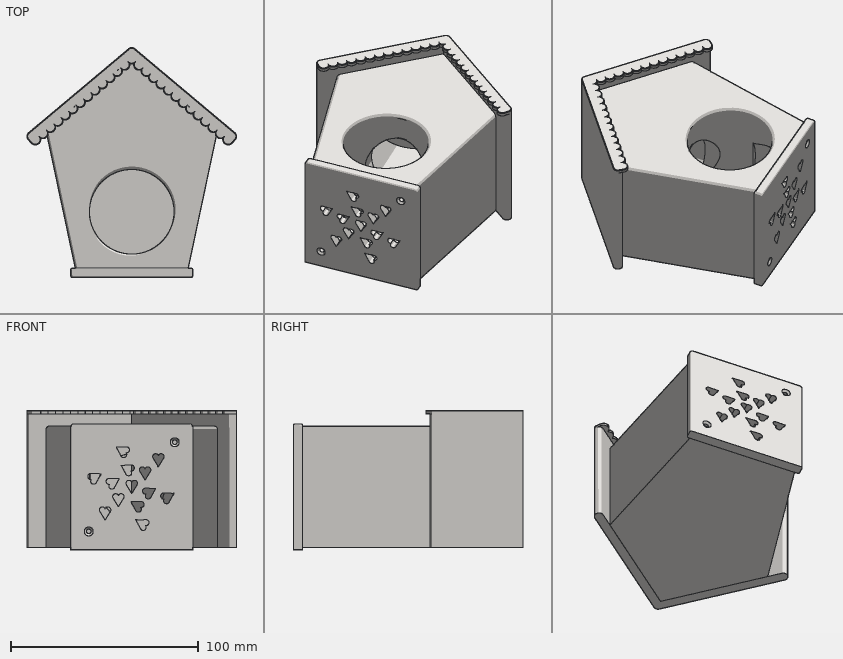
import cadquery as cq
import math


HOUSE_DEPTH = 64.6
HOUSE_BASE_HALF_WIDTH = 30.1
SIDE_FLARE_ANGLE = 12
SIDE_EDGE_RADIUS = 2.0

ROOF_PITCH_ANGLE = 40
ROOF_THICKNESS = 5.0
ROOF_SPAN = 111.6
ROOF_RIDGE_Y = 117.4
ROOF_DEPTH = 71.1
ROOF_EDGE_RADIUS = ROOF_THICKNESS / 2

TRIM_THICKNESS = 2.0
TRIM_CHAMFER = 0.4
SCALLOPS_PER_SIDE = 13

BACK_WALL = 2.0
ENTRANCE_DIAMETER = 45.0
ENTRANCE_Y = 30.0
ENTRANCE_EDGE_RADIUS = 2.0
PASSAGE_DIAMETER = 35.0
ROOF_BORE_DIAMETER = 61.0
ROOF_BORE_START_Y = 53.0
FLOOR_BORE_DIAMETER = 49.9
FLOOR_BORE_END_Y = 26.9
BORE_Z = HOUSE_DEPTH / 2

PLATE_WIDTH = 65.0
PLATE_THICKNESS = 5.0
PLATE_OVERHANG = 1.2
PLATE_CORNER_RADIUS = 1.7
PLATE_EDGE_RADIUS = 1.0

SCREW_DIAMETER = 2.5
SCREW_HEAD_DIAMETER = 4.8
COUNTERSINK_ANGLE = 90
SCREW_DEPTH = 9.8
SCREW_X = 22.9
SCREW_Z = 23.7

HEART_LOBE_RADIUS = 1.6
HEART_LOBE_X = 1.5
HEART_HEIGHT = 7.0
HEART_SPACING = 10.0
HEART_LINE_ANGLE = 45
HEART_LINES = 3
HEARTS_PER_ARM = 2

PITCH = math.radians(ROOF_PITCH_ANGLE)
SHARP_RIDGE_Y = ROOF_RIDGE_Y + ROOF_EDGE_RADIUS * (1 / math.cos(PITCH) - 1)
INNER_RIDGE_Y = SHARP_RIDGE_Y - ROOF_THICKNESS / math.cos(PITCH)
EAVE_CENTER_X = ROOF_SPAN / 2 - ROOF_EDGE_RADIUS
SLOPE_LENGTH = (EAVE_CENTER_X + ROOF_EDGE_RADIUS * math.sin(PITCH)) / math.cos(PITCH) + ROOF_EDGE_RADIUS
INNER_SLOPE_LENGTH = SLOPE_LENGTH - ROOF_THICKNESS * math.tan(PITCH)
MIDDLE_RIDGE_Y = (SHARP_RIDGE_Y + INNER_RIDGE_Y) / 2
MIDDLE_SLOPE_LENGTH = (SLOPE_LENGTH + INNER_SLOPE_LENGTH) / 2

FLARE = math.tan(math.radians(SIDE_FLARE_ANGLE))
HOUSE_EAVE_Y = (INNER_RIDGE_Y - HOUSE_BASE_HALF_WIDTH * math.tan(PITCH)) / (1 + FLARE * math.tan(PITCH))
HOUSE_EAVE_X = HOUSE_BASE_HALF_WIDTH + FLARE * HOUSE_EAVE_Y


def rod_along_y(diameter, x, z, start_y, end_y):
    """A cylinder parallel to Y."""
    return cq.Workplane(cq.Solid.makeCylinder(
        diameter / 2, end_y - start_y, cq.Vector(x, start_y, z), cq.Vector(0, 1, 0)))


def screw_places():
    """The X and Z of the two screws, at opposite corners of the floor plate."""
    return [(side * SCREW_X, BORE_Z + side * SCREW_Z) for side in (-1, 1)]


def make_house():
    """The solid pentagonal house with its entrance pocket and bores."""
    half_outline = [(HOUSE_BASE_HALF_WIDTH, 0), (HOUSE_EAVE_X, HOUSE_EAVE_Y)]
    outline = half_outline + [(0, INNER_RIDGE_Y)] + [(-x, y) for x, y in reversed(half_outline)]
    house = cq.Workplane("XY").polyline(outline).close().extrude(HOUSE_DEPTH)

    side_edge_y = HOUSE_EAVE_Y / 2
    side_edge_x = HOUSE_BASE_HALF_WIDTH + FLARE * side_edge_y
    for side in (-1, 1):
        edge = cq.selectors.NearestToPointSelector((side * side_edge_x, side_edge_y, HOUSE_DEPTH))
        house = house.edges(edge).fillet(SIDE_EDGE_RADIUS)

    entrance = (cq.Workplane("XY").workplane(offset=BACK_WALL).center(0, ENTRANCE_Y)
                .circle(ENTRANCE_DIAMETER / 2).extrude(HOUSE_DEPTH))
    house = house.cut(entrance)
    rim = cq.selectors.RadiusNthSelector(0)
    house = house.faces(">Z").edges("%CIRCLE").edges(rim).fillet(ENTRANCE_EDGE_RADIUS)

    house = house.cut(rod_along_y(FLOOR_BORE_DIAMETER, 0, BORE_Z, 0, FLOOR_BORE_END_Y))
    house = house.cut(rod_along_y(PASSAGE_DIAMETER, 0, BORE_Z, ENTRANCE_Y, ROOF_BORE_START_Y))
    house = house.cut(rod_along_y(ROOF_BORE_DIAMETER, 0, BORE_Z, ROOF_BORE_START_Y, SHARP_RIDGE_Y))

    for x, z in screw_places():
        house = house.cut(rod_along_y(SCREW_DIAMETER, x, z, 0, SCREW_DEPTH))
    return house


def point_down_slope(ridge_y, distance, side):
    """The point at a distance from the ridge along one slope of the roof."""
    return (side * distance * math.cos(PITCH), ridge_y - distance * math.sin(PITCH))


def roof_chevron(depth):
    """Both slopes of the roof with square eaves and a rounded ridge."""
    outline = [
        point_down_slope(INNER_RIDGE_Y, INNER_SLOPE_LENGTH, -1),
        point_down_slope(SHARP_RIDGE_Y, SLOPE_LENGTH, -1),
        (0, SHARP_RIDGE_Y),
        point_down_slope(SHARP_RIDGE_Y, SLOPE_LENGTH, 1),
        point_down_slope(INNER_RIDGE_Y, INNER_SLOPE_LENGTH, 1),
        (0, INNER_RIDGE_Y),
    ]
    chevron = cq.Workplane("XY").polyline(outline).close().extrude(depth)
    return chevron.edges("|Z and >Y").fillet(ROOF_EDGE_RADIUS)


def make_slopes():
    """The two slopes of the roof, each ending in a full round at the eave."""
    half_outline = [
        point_down_slope(SHARP_RIDGE_Y, SLOPE_LENGTH - ROOF_EDGE_RADIUS, 1),
        point_down_slope(MIDDLE_RIDGE_Y, MIDDLE_SLOPE_LENGTH, 1),
        point_down_slope(INNER_RIDGE_Y, INNER_SLOPE_LENGTH - ROOF_EDGE_RADIUS, 1),
    ]
    outer_end, round_middle, inner_end = half_outline
    mirrored_outer_end, mirrored_middle, mirrored_inner_end = [(-x, y) for x, y in half_outline]
    slopes = (cq.Workplane("XY").moveTo(0, SHARP_RIDGE_Y)
              .lineTo(*outer_end).threePointArc(round_middle, inner_end)
              .lineTo(0, INNER_RIDGE_Y)
              .lineTo(*mirrored_inner_end).threePointArc(mirrored_middle, mirrored_outer_end)
              .close().extrude(ROOF_DEPTH))
    return slopes.edges("|Z and >Y").fillet(ROOF_EDGE_RADIUS)


def make_trim():
    """The flat front of the roof, with a row of chamfered round scallops along its lower edge."""
    trim = roof_chevron(TRIM_THICKNESS)
    trim = trim.edges("|Z and (<X or >X)").fillet(ROOF_EDGE_RADIUS)
    lower_edges = [
        cq.selectors.NearestToPointSelector(
            (*point_down_slope(INNER_RIDGE_Y, INNER_SLOPE_LENGTH / 2, side), TRIM_THICKNESS))
        for side in (-1, 1)
    ]
    trim = trim.faces(">Z").edges(-(lower_edges[0] + lower_edges[1])).chamfer(TRIM_CHAMFER)

    spacing = (INNER_SLOPE_LENGTH - TRIM_CHAMFER) / (SCALLOPS_PER_SIDE + 0.5)
    scallop_radius = spacing / 2 + TRIM_CHAMFER
    centers = [(0, INNER_RIDGE_Y)]
    for side in (-1, 1):
        for place in range(1, SCALLOPS_PER_SIDE + 1):
            centers.append(point_down_slope(INNER_RIDGE_Y, place * spacing, side))
    for center in centers:
        scallop = cq.Workplane("XY").center(*center).circle(scallop_radius).extrude(TRIM_THICKNESS)
        trim = trim.union(scallop.faces(">Z").chamfer(TRIM_CHAMFER))
    return trim.translate((0, 0, ROOF_DEPTH))


def make_roof():
    """The two roof slopes and the trim on their front, as one body."""
    return make_slopes().union(make_trim())


def heart_cutter(distance, arm_angle, turn):
    """A heart-shaped rod through the plate, placed along an arm from the middle and turned about Y."""
    lobe_z = HEART_HEIGHT / 2 - HEART_LOBE_RADIUS
    tip_z = -HEART_HEIGHT / 2
    notch_z = lobe_z + math.sqrt(HEART_LOBE_RADIUS ** 2 - HEART_LOBE_X ** 2)
    tip_to_lobe = math.hypot(HEART_LOBE_X, lobe_z - tip_z)
    lobe_direction = math.atan2(lobe_z - tip_z, HEART_LOBE_X)
    touch_angle = lobe_direction + math.pi + math.acos(HEART_LOBE_RADIUS / tip_to_lobe)
    touch_x = HEART_LOBE_X + HEART_LOBE_RADIUS * math.cos(touch_angle)
    touch_z = lobe_z + HEART_LOBE_RADIUS * math.sin(touch_angle)
    lobe_top_z = lobe_z + HEART_LOBE_RADIUS
    heart = (cq.Workplane("XZ").moveTo(0, tip_z).lineTo(touch_x, touch_z)
             .threePointArc((HEART_LOBE_X, lobe_top_z), (0, notch_z))
             .threePointArc((-HEART_LOBE_X, lobe_top_z), (-touch_x, touch_z)).close()
             .extrude(PLATE_THICKNESS))
    heart = heart.rotate((0, 0, 0), (0, -1, 0), turn)

    angle = math.radians(arm_angle)
    return heart.translate((distance * math.cos(angle), 0, BORE_Z + distance * math.sin(angle)))


def make_floor_plate():
    """The floor plate with rounded edges, heart openings and two countersunk screw holes."""
    plate_height = HOUSE_DEPTH + 2 * PLATE_OVERHANG
    plate = (cq.Workplane("XY").box(PLATE_WIDTH, PLATE_THICKNESS, plate_height, centered=(True, False, False))
             .translate((0, -PLATE_THICKNESS, -PLATE_OVERHANG)))
    plate = plate.edges("|Y and >Z").fillet(PLATE_CORNER_RADIUS)
    plate = plate.edges("(>Y or <Y) and (not <Z)").fillet(PLATE_EDGE_RADIUS)

    plate = plate.cut(heart_cutter(0, 0, 0))
    for line in range(HEART_LINES):
        turn = line * 360 / HEART_LINES
        for step in range(1, HEARTS_PER_ARM + 1):
            for side in (-1, 1):
                distance = side * step * HEART_SPACING
                plate = plate.cut(heart_cutter(distance, HEART_LINE_ANGLE + turn, turn))

    countersink_depth = SCREW_HEAD_DIAMETER / 2 / math.tan(math.radians(COUNTERSINK_ANGLE / 2))
    for x, z in screw_places():
        plate = plate.cut(rod_along_y(SCREW_DIAMETER, x, z, -PLATE_THICKNESS, 0))
        plate = plate.cut(cq.Workplane(cq.Solid.makeCone(
            SCREW_HEAD_DIAMETER / 2, 0, countersink_depth,
            cq.Vector(x, -PLATE_THICKNESS, z), cq.Vector(0, 1, 0))))
    return plate


house = make_house()
roof = make_roof()
floor_plate = make_floor_plate()

result = cq.Compound.makeCompound([house.val(), roof.val(), floor_plate.val()])